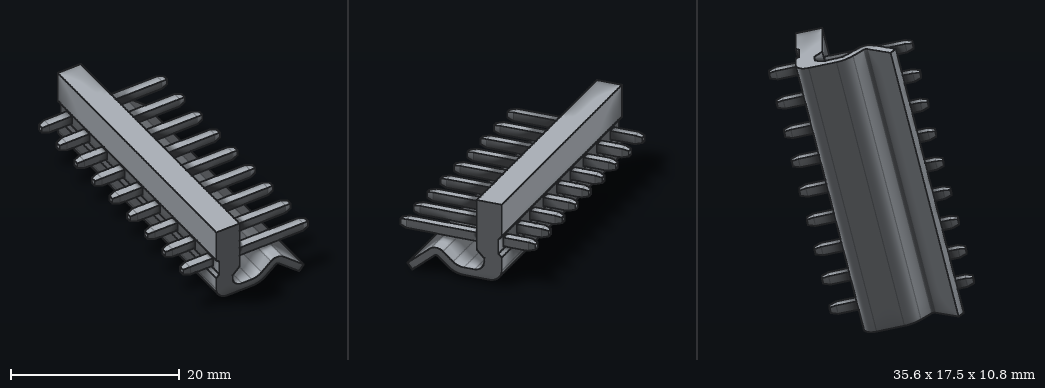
import cadquery as cq
import math

pin_count = 9
body_length = 35.65
pitch = body_length / pin_count
pin_width = 1.15
pin_end_width = 0.7
pin_taper_length = 0.85
pin_front = -3.65
pin_length = 17.45
pin_height = 4.6

wall_top = 10.2
wall_depth = 3.25
neck_depth = 2.28
neck_slope_top = 3.67
neck_slope_drop = wall_depth - neck_depth
front_corner_radius = 1.57
inside_corner_radius = 1.3

groove_depth = 0.43
groove_floor_half = 0.93
groove_mouth_half = groove_floor_half + groove_depth

arm_thickness = 1.0
arm_angle = math.radians(40)
foot_end = 4.95
valley_radius = 2.15
ramp_length = 1.7
crest_radius = 1.32
tip_length = 3.75


def polar(center, radius, angle):
    """Point at a distance from a centre, with the angle measured from +Z towards +Y."""
    return (center[0] + radius * math.sin(angle), center[1] + radius * math.cos(angle))


valley_center = (foot_end, arm_thickness + valley_radius)
ramp_start = polar(valley_center, valley_radius, math.pi - arm_angle)
ramp_end = polar(ramp_start, ramp_length, math.pi / 2 - arm_angle)
crest_center = polar(ramp_end, crest_radius, math.pi - arm_angle)


def valley_point(radius, turn):
    return polar(valley_center, radius, math.pi - turn)


def crest_point(radius, turn):
    return polar(crest_center, radius, turn)


def tip_point(radius):
    """End of the straight tip that leaves the crest tangentially."""
    return polar(crest_point(radius, arm_angle), tip_length, math.pi / 2 + arm_angle)


def make_body():
    """Wall, neck, foot and latch arm as one profile extruded along the row."""
    valley_outer = valley_radius + arm_thickness
    crest_inner = crest_radius - arm_thickness
    half_turn = arm_angle / 2
    diagonal = math.sqrt(0.5)

    corner_middle = front_corner_radius * (1 - diagonal)
    inside_y = neck_depth + inside_corner_radius
    inside_z = arm_thickness + inside_corner_radius
    inside_reach = inside_corner_radius * diagonal

    profile = (
        cq.Workplane("YZ")
        .moveTo(0, wall_top)
        .lineTo(0, pin_height + groove_mouth_half)
        .lineTo(groove_depth, pin_height + groove_floor_half)
        .lineTo(groove_depth, pin_height - groove_floor_half)
        .lineTo(0, pin_height - groove_mouth_half)
        .lineTo(0, front_corner_radius)
        .threePointArc((corner_middle, corner_middle), (front_corner_radius, 0))
        .lineTo(foot_end, 0)
        .threePointArc(valley_point(valley_outer, half_turn), valley_point(valley_outer, arm_angle))
        .lineTo(*crest_point(crest_inner, -arm_angle))
        .threePointArc(crest_point(crest_inner, 0), crest_point(crest_inner, arm_angle))
        .lineTo(*tip_point(crest_inner))
        .lineTo(*tip_point(crest_radius))
        .lineTo(*crest_point(crest_radius, arm_angle))
        .threePointArc(crest_point(crest_radius, 0), crest_point(crest_radius, -arm_angle))
        .lineTo(*ramp_start)
        .threePointArc(valley_point(valley_radius, half_turn), (foot_end, arm_thickness))
        .lineTo(inside_y, arm_thickness)
        .threePointArc((inside_y - inside_reach, inside_z - inside_reach), (neck_depth, inside_z))
        .lineTo(neck_depth, neck_slope_top - neck_slope_drop)
        .lineTo(wall_depth, neck_slope_top)
        .lineTo(wall_depth, wall_top)
        .close()
    )
    return profile.extrude(body_length / 2, both=True)


def make_pin():
    """Square pin along Y with both ends tapered, centred on X = 0."""
    middle = pin_front + pin_length / 2
    shank_length = pin_length - 2 * pin_taper_length
    shank = cq.Workplane("XY").box(pin_width, shank_length, pin_width)
    tip = (
        shank.faces(">Y").workplane()
        .rect(pin_width, pin_width)
        .workplane(offset=pin_taper_length)
        .rect(pin_end_width, pin_end_width)
        .loft(combine=False)
    )
    pin = shank.union(tip).union(tip.mirror("XZ"))
    return pin.translate((0, middle, pin_height))


result = make_body()
pin = make_pin()
for index in range(pin_count):
    pin_x = (index - (pin_count - 1) / 2) * pitch
    result = result.union(pin.translate((pin_x, 0, 0)))